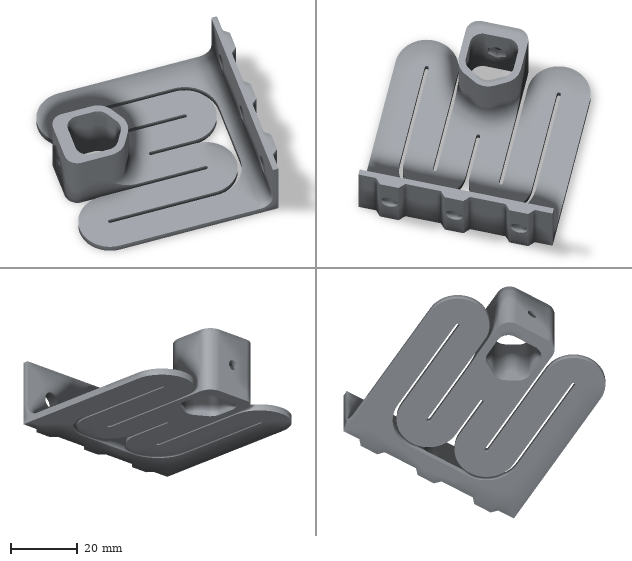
import cadquery as cq
import math

width = 60.0
height = 20.0
front_y = -59.8

plate_thickness = 2.0
wall_thickness = 1.8
bend_radius = 4.0

leg_width = 9.0
gap = 1.2
leg_pitch = leg_width + gap
loop_radius = leg_width + gap / 2
pocket_radius = loop_radius + gap
front_loop_y = front_y + loop_radius
pocket_back_y = -(wall_thickness + bend_radius)
back_loop_y = pocket_back_y - pocket_radius
center_slot_end_y = -31.3

tower_width = 2 * loop_radius
tower_wall = 2.2
tower_front_wall = 4.1
tower_length = 21.65
tower_back_y = front_y + tower_length
bore_front_y = front_y + tower_front_wall
roof_angle = math.radians(30)
bore_corner_radius = 4.0
bore_front_radius = 3.8
tower_corner_radius = bore_corner_radius + tower_wall
tower_front_radius = 4.0
tower_base_fillet = 4.0

set_screw_diameter = 3.1
set_screw_web = 1.5
nut_across_flats = 5.5
nut_sides = 6
nut_turn = 180 / nut_sides

hole_spacing = 20.0
hole_xs = [-hole_spacing, 0.0, hole_spacing]
hole_z = height / 2
hole_diameter = 5.2
seat_diameter = 10.0
rib_depth = 1.8
rib_base_width = 9.0
rib_tip_width = 5.8

pick_slack = 0.5


def block(x_min, x_max, y_min, y_max, z_max):
    """Box standing on Z = 0."""
    size_x = x_max - x_min
    size_y = y_max - y_min
    return cq.Workplane("XY").box(size_x, size_y, z_max, centered=False).translate((x_min, y_min, 0))


def disc(x, y, radius):
    """Full-height cylinder standing on Z = 0."""
    return cq.Workplane("XY").center(x, y).circle(radius).extrude(height)


def cylinder_along_y(x, diameter, y_min, y_max):
    """Cylinder parallel to Y at the height of the wall holes."""
    plane = cq.Workplane("XZ", origin=(x, y_max, hole_z))
    return plane.circle(diameter / 2).extrude(y_max - y_min)


def house(house_width, y_min, y_peak, roof_radius, front_radius):
    """House-shaped prism; y_peak is the crest of the rounded roof ridge."""
    half = house_width / 2
    sharp_peak_y = y_peak + roof_radius * (1 / math.cos(roof_angle) - 1)
    eaves_y = sharp_peak_y - half * math.tan(roof_angle)
    outline = [(-half, y_min), (half, y_min), (half, eaves_y), (0, sharp_peak_y), (-half, eaves_y)]
    prism = cq.Workplane("XY").polyline(outline).close().extrude(height)
    middle_y = (y_min + eaves_y) / 2
    front_edges = cq.selectors.BoxSelector(
        (-half - pick_slack, y_min - pick_slack, 0),
        (half + pick_slack, middle_y, height),
    )
    roof_edges = cq.selectors.BoxSelector(
        (-half - pick_slack, middle_y, 0),
        (half + pick_slack, sharp_peak_y + pick_slack, height),
    )
    prism = prism.edges("|Z").edges(front_edges).fillet(front_radius)
    return prism.edges("|Z").edges(roof_edges).fillet(roof_radius)


def tower_body():
    return house(tower_width, front_y, tower_back_y, tower_corner_radius, tower_front_radius)


def tower_bore():
    bore_width = tower_width - 2 * tower_wall
    bore_peak_y = tower_back_y - tower_wall
    return house(bore_width, bore_front_y, bore_peak_y, bore_corner_radius, bore_front_radius)


def set_screw_hole():
    """Screw hole in the tower front, opening into a point-up hexagonal nut pocket that faces the bore."""
    web_back_y = front_y + set_screw_web
    nut_across_corners = nut_across_flats / math.cos(math.pi / nut_sides)
    nut_plane = cq.Workplane("XZ", origin=(0, bore_front_y, hole_z)).transformed(rotate=(0, 0, nut_turn))
    nut_pocket = nut_plane.polygon(nut_sides, nut_across_corners).extrude(bore_front_y - web_back_y)
    return cylinder_along_y(0, set_screw_diameter, front_y, web_back_y).union(nut_pocket)


def sheet_with_tower():
    """Oversized sheet with the tower blended into its middle strip; the plan outline trims it later."""
    margin = 2 * tower_base_fillet
    sheet = block(-width / 2, width / 2, front_y - margin, 0, plate_thickness)
    joined = sheet.union(tower_body())
    base_edges = cq.selectors.BoxSelector(
        (-loop_radius - pick_slack, front_y - pick_slack, plate_thickness - pick_slack),
        (loop_radius + pick_slack, tower_back_y + pick_slack, plate_thickness + pick_slack),
        boundingbox=True,
    )
    blended = joined.edges(base_edges).fillet(tower_base_fillet)
    middle_strip = block(-loop_radius, loop_radius, front_y, 0, height)
    return sheet.union(blended.intersect(middle_strip))


def gap_slot(x, y_front, y_back):
    """Straight gap between legs with a round front end centred on y_front."""
    straight = block(x - gap / 2, x + gap / 2, y_front, y_back, height)
    return straight.union(disc(x, y_front, gap / 2))


def pocket():
    """Clearance around the two back loops, with the outermost gaps and the centre gap."""
    half = 2 * leg_pitch + gap / 2
    deep_block = block(-half, half, back_loop_y - pocket_radius, pocket_back_y, height)
    rounded = deep_block.edges("|Z and >Y").fillet(pocket_radius)
    opening = rounded.intersect(block(-half, half, back_loop_y, pocket_back_y, height))
    for side in (-1, 1):
        opening = opening.cut(disc(side * leg_pitch, back_loop_y, loop_radius))
        opening = opening.union(gap_slot(side * 2 * leg_pitch, front_loop_y, back_loop_y))
    return opening.union(gap_slot(0, center_slot_end_y + gap / 2, back_loop_y))


def inner_gap(x):
    """Gap beside the tower leg: open to the front, round at the back loop centre."""
    straight = block(x - gap / 2, x + gap / 2, front_y, back_loop_y, height)
    return straight.union(disc(x, back_loop_y, gap / 2))


def plan_outline():
    """Full-height prism of the plan shape of the folded legs."""
    plan = block(-width / 2, width / 2, front_loop_y, 0, height)
    for side in (-1, 1):
        plan = plan.union(disc(side * 2 * leg_pitch, front_loop_y, loop_radius))
    plan = plan.cut(pocket()).union(tower_body())
    for side in (-1, 1):
        plan = plan.cut(inner_gap(side * leg_pitch))
    return plan


def wall():
    """Upright wall with the concave bend down to the sheet."""
    bend_top = plate_thickness + bend_radius
    profile = (
        cq.Workplane("YZ", origin=(-width / 2, 0, 0))
        .lineTo(0, height)
        .lineTo(-wall_thickness, height)
        .lineTo(-wall_thickness, bend_top)
        .radiusArc((pocket_back_y, plate_thickness), bend_radius)
        .lineTo(pocket_back_y, 0)
        .close()
    )
    return profile.extrude(width)


def rib(x):
    """Tapered full-height rib on the back of the wall."""
    outline = [
        (x - rib_base_width / 2, 0),
        (x - rib_tip_width / 2, rib_depth),
        (x + rib_tip_width / 2, rib_depth),
        (x + rib_base_width / 2, 0),
    ]
    return cq.Workplane("XY").polyline(outline).close().extrude(height)


result = sheet_with_tower().intersect(plan_outline()).union(wall())
for hole_x in hole_xs:
    result = result.union(rib(hole_x))
    result = result.cut(cylinder_along_y(hole_x, hole_diameter, -wall_thickness, rib_depth))
    result = result.cut(cylinder_along_y(hole_x, seat_diameter, pocket_back_y, -wall_thickness))
result = result.cut(tower_bore()).cut(set_screw_hole())